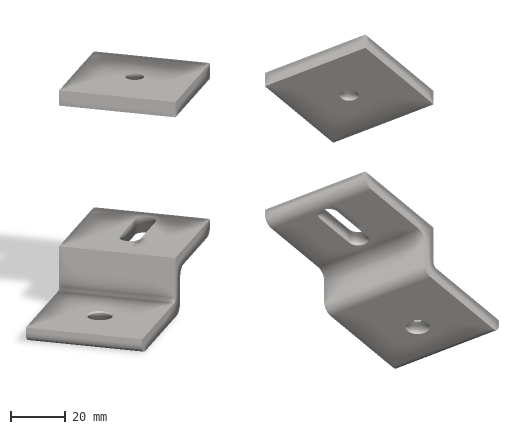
import cadquery as cq

width = 45.0
length = 88.0
total_height = 84.5
thickness = 6.0

shelf_length = width
bracket_height = 23.2
outer_radius = 4.0
foot_corner_radius = 1.5

slot_width = 8.0
slot_travel = 19.4
slot_offset = 4.0
foot_hole_diameter = 9.0
foot_hole_chamfer = 0.5
foot_hole_from_end = 20.5
plate_hole_diameter = 7.0

front_y = -length / 2
back_y = length / 2
step_front_y = back_y - shelf_length
step_back_y = step_front_y + thickness
shelf_middle_y = back_y - shelf_length / 2
shelf_bottom_z = bracket_height - thickness


def make_bracket():
    """Z-shaped bracket: a low foot, a vertical step and a slotted high shelf."""
    blank = (
        cq.Workplane("YZ")
        .polyline([
            (front_y, 0),
            (step_back_y, 0),
            (step_back_y, shelf_bottom_z),
            (back_y, shelf_bottom_z),
            (back_y, bracket_height),
            (step_front_y, bracket_height),
            (step_front_y, thickness),
            (front_y, thickness),
        ])
        .close()
        .extrude(width / 2, both=True)
    )

    def cross_edge(y, z):
        return cq.selectors.NearestToPointSelector((0, y, z))

    for y, z, radius in [
        (front_y, 0, outer_radius),
        (step_back_y, 0, outer_radius),
        (step_back_y, shelf_bottom_z, outer_radius),
        (back_y, shelf_bottom_z, outer_radius),
        (step_front_y, thickness, foot_corner_radius),
    ]:
        blank = blank.edges("|X").edges(cross_edge(y, z)).fillet(radius)

    slot = (
        cq.Workplane("XY", origin=(0, shelf_middle_y + slot_offset, shelf_bottom_z))
        .slot2D(slot_travel + slot_width, slot_width, 90)
        .extrude(thickness)
    )

    foot_hole_y = front_y + foot_hole_from_end
    foot_hole = (
        cq.Workplane("XY", origin=(0, foot_hole_y, 0))
        .circle(foot_hole_diameter / 2)
        .extrude(thickness)
    )
    rim = (
        cq.Workplane("XY", origin=(0, foot_hole_y, thickness))
        .circle(foot_hole_diameter / 2 + foot_hole_chamfer)
        .extrude(-foot_hole_chamfer, taper=45)
    )
    return blank.cut(slot).cut(foot_hole).cut(rim)


def make_plate():
    """Square clamp plate held above the shelf, with a central hole."""
    return (
        cq.Workplane("XY", origin=(0, shelf_middle_y, total_height - thickness))
        .rect(width, shelf_length)
        .circle(plate_hole_diameter / 2)
        .extrude(thickness)
    )


bracket = make_bracket()
plate = make_plate()

result = cq.Compound.makeCompound([bracket.solids().val(), plate.val()])